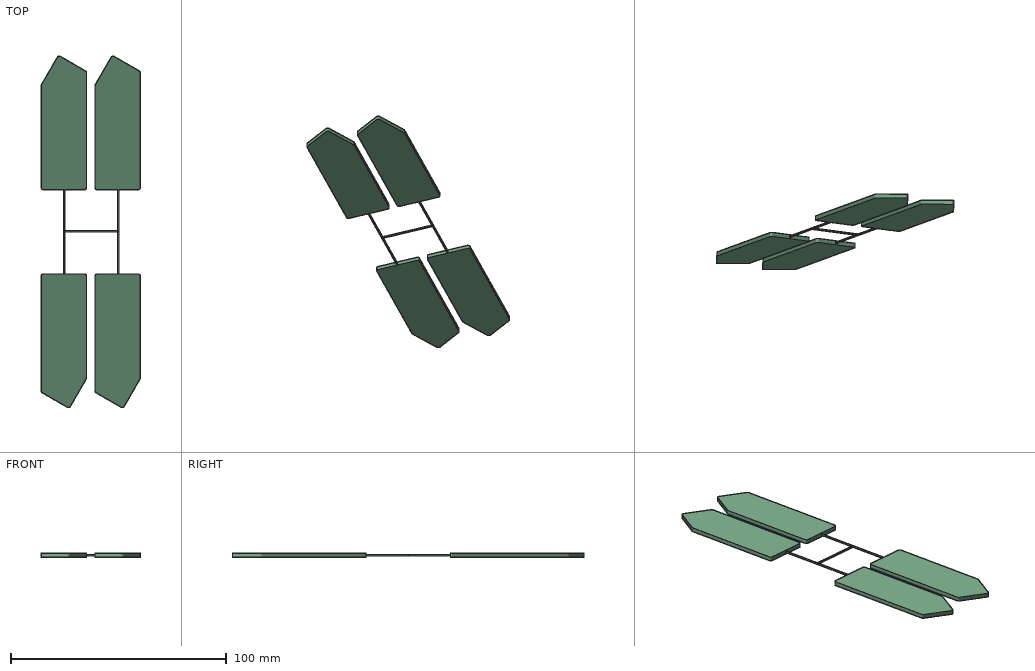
import cadquery as cq
import math

PLATE_WIDTH = 21.0
PLATE_THICKNESS = 2.0
COLUMN_PITCH = 25.0
OVERALL_LENGTH = 163.0
BASE_GAP = 39.0
TIP_OFFSET = 8.0
STEEP_ANGLE = 60.0
CORNER_RADIUS = 1.06

ROD_DIAMETER = 0.8
ROD_OFFSET_X = 0.25
ROD_OFFSET_Y = 0.25

column_centers = [-COLUMN_PITCH / 2, COLUMN_PITCH / 2]
base_y = BASE_GAP / 2

steep_angle = math.radians(STEEP_ANGLE)
shallow_angle = math.pi / 2 - steep_angle

tip_rounding_loss = CORNER_RADIUS * (math.sin(steep_angle) + math.cos(steep_angle) - 1)
tip_y = OVERALL_LENGTH / 2 + tip_rounding_loss
steep_shoulder_y = tip_y - TIP_OFFSET * math.tan(steep_angle)
shallow_shoulder_y = tip_y - (PLATE_WIDTH - TIP_OFFSET) * math.tan(shallow_angle)


def make_plate(center_x, turn):
    """Pointed plate with rounded corners; a turn of 180 degrees points it toward -Y."""
    left = -PLATE_WIDTH / 2
    right = PLATE_WIDTH / 2
    plate = (
        cq.Workplane("XY")
        .polyline([
            (left, base_y),
            (right, base_y),
            (right, shallow_shoulder_y),
            (left + TIP_OFFSET, tip_y),
            (left, steep_shoulder_y),
        ])
        .close()
        .extrude(PLATE_THICKNESS / 2, both=True)
        .edges("|Z")
        .fillet(CORNER_RADIUS)
    )
    return plate.rotate((0, 0, 0), (0, 0, 1), turn).translate((center_x, 0, 0))


def make_side_rod(center_x):
    """Round rod along Y joining the square ends of two facing plates."""
    return (
        cq.Workplane("XZ", origin=(center_x + ROD_OFFSET_X, 0, 0))
        .circle(ROD_DIAMETER / 2)
        .extrude(BASE_GAP / 2, both=True)
    )


def make_cross_rod(side_rods):
    """Round rod along X, its ends hollowed to sit against the two side rods."""
    rod = (
        cq.Workplane("YZ", origin=(ROD_OFFSET_X, ROD_OFFSET_Y, 0))
        .circle(ROD_DIAMETER / 2)
        .extrude(COLUMN_PITCH / 2, both=True)
    )
    for side_rod in side_rods:
        rod = rod.cut(side_rod)
    return rod


plates = [make_plate(center_x, turn) for center_x in column_centers for turn in (0, 180)]
side_rods = [make_side_rod(center_x) for center_x in column_centers]
cross_rod = make_cross_rod(side_rods)

result = cq.Compound.makeCompound([
    *[plate.val() for plate in plates],
    *[side_rod.val() for side_rod in side_rods],
    *cross_rod.solids().vals(),
])